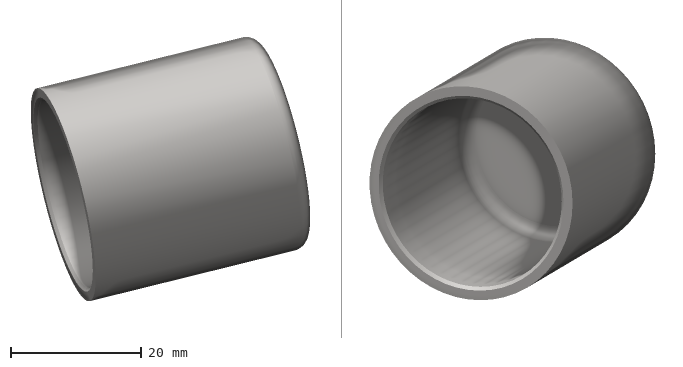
import cadquery as cq

length = 35.0
outer_diameter = 33.7
bore_diameter = 29.7
mouth_diameter = 30.7
end_thickness = 2.0
end_fillet = 2.0
floor_fillet = 2.0

mouth_chamfer = (mouth_diameter - bore_diameter) / 2
bore_depth = length - end_thickness


def cylinder_along_y(diameter, depth):
    """Solid cylinder from the open end (-Y) towards the closed end (+Y)."""
    start = cq.Workplane("XZ", origin=(0, -length / 2, 0))
    return start.circle(diameter / 2).extrude(-depth)


body = cylinder_along_y(outer_diameter, length).faces(">Y").edges().fillet(end_fillet)

bore = cylinder_along_y(bore_diameter, bore_depth).faces(">Y").edges().fillet(floor_fillet)
result = body.cut(bore)
result = result.faces("<Y").edges(cq.selectors.RadiusNthSelector(0)).chamfer(mouth_chamfer)